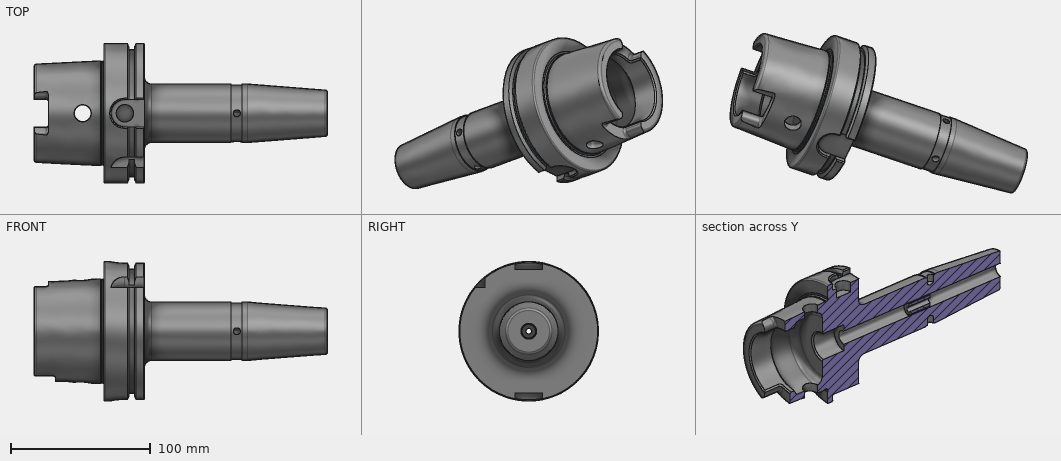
import cadquery as cq
import math


SHANK_END = -50.0
NOSE_END = 160.0

TAPER_RATIO = 1 / 20
TAPER_BIG_X = -2.5
TAPER_BIG_R = 37.55
SHANK_TIP_FILLET = 2.0
UNDERCUT_R = 37.0
UNDERCUT_START_X = -1.8
UNDERCUT_END_X = -0.7
FACE_RELIEF_INNER_R = 38.1
FACE_RELIEF_OUTER_R = 39.6
FACE_RELIEF_DEPTH = 0.1

FLANGE_R = 50.0
FLANGE_LENGTH = 29.0
FLANGE_FRONT_FILLET = 1.0
FLANGE_BACK_CHAMFER = 0.6
GROOVE_CENTER_X = 19.9
GROOVE_BOTTOM_WIDTH = 3.8
GROOVE_TOP_WIDTH = 6.4
GROOVE_BOTTOM_R = 45.6
GROOVE_WALL_R = 47.2

NECK_R = 21.0
NECK_FILLET = 5.0
RELIEF_R = 20.4
RELIEF_START_X = 90.8
RELIEF_END_X = 99.0
NOSE_TAPER_START_X = 102.8
NOSE_TAPER_ANGLE = 4.5
NOSE_TIP_FILLET = 1.7

CLAMP_BORE_R = 26.5
CLAMP_BORE_DEPTH = 45.0
CLAMP_BORE_CHAMFER = 1.0
CLAMP_GROOVE_R = 30.5
CLAMP_GROOVE_START_X = -30.7
CLAMP_GROOVE_ANGLE = 60.0
CLAMP_GROOVE_FILLET = 5.7
COOLANT_BORE_R = 10.8
COOLANT_BORE_CHAMFER = 1.1
COOLANT_BORE_DEPTH = 20.0
PASSAGE_R = 5.5

DRIVE_SLOT_HALF_WIDTH = 10.0
DRIVE_SLOT_EDGE_R = 5.0
DRIVE_SLOT_EDGE_TOP = 32.0
DRIVE_SLOT_END_FILLET = 1.8
DRIVE_SLOT_DEPTH_TOP = 10.3
DRIVE_SLOT_DEPTH_BOTTOM = 15.3

CROSS_HOLE_X = -15.2
CROSS_HOLE_D = 12.0

KEY_SLOT_WIDTH = 19.6
KEY_SLOT_END_X = 5.1
KEY_SLOT_FLOOR = 44.3
KEY_SLOT_CHAMFER = 1.0
KEY_HOLE_X = 15.0
KEY_HOLE_D = 12.5
KEY_HOLE_DEPTH = 8.0

NOTCH_OFFSET = 31.4
NOTCH_ARC_R = 10.0
NOTCH_ARC_CENTER_X = 14.8

BALANCE_HOLE_COUNT = 4
BALANCE_HOLE_X = 95.2
BALANCE_HOLE_D = 5.0
BALANCE_HOLE_DEPTH = 6.0
DRILL_POINT_ANGLE = 118.0

SCREW_R = 5.0
SCREW_BORE_R = 2.0
SCREW_START_X = 75.0
SCREW_LENGTH = 20.0

CLEAR = 10.0


def turned_body():
    """Outer shape revolved about X."""
    shank_tip_r = TAPER_BIG_R - (TAPER_BIG_X - SHANK_END) * TAPER_RATIO
    nose_tip_r = NECK_R - (NOSE_END - NOSE_TAPER_START_X) * math.tan(math.radians(NOSE_TAPER_ANGLE))

    shank = (
        cq.Workplane("XY")
        .polyline([
            (SHANK_END, 0),
            (SHANK_END, shank_tip_r),
            (TAPER_BIG_X, TAPER_BIG_R),
            (UNDERCUT_START_X, UNDERCUT_R),
            (UNDERCUT_END_X, UNDERCUT_R),
            (FACE_RELIEF_DEPTH, FACE_RELIEF_INNER_R),
            (FACE_RELIEF_DEPTH, 0),
        ])
        .close()
        .revolve(360, (0, 0, 0), (1, 0, 0))
        .faces("<X").edges().fillet(SHANK_TIP_FILLET)
    )

    flange = make_flange()

    neck_start = FLANGE_LENGTH
    nose = (
        cq.Workplane("XY")
        .moveTo(neck_start, 0)
        .lineTo(neck_start, NECK_R + NECK_FILLET)
        .radiusArc((neck_start + NECK_FILLET, NECK_R), -NECK_FILLET)
        .lineTo(RELIEF_START_X, NECK_R)
        .lineTo(RELIEF_START_X, RELIEF_R)
        .lineTo(RELIEF_END_X, RELIEF_R)
        .lineTo(RELIEF_END_X, NECK_R)
        .lineTo(NOSE_TAPER_START_X, NECK_R)
        .lineTo(NOSE_END, nose_tip_r)
        .lineTo(NOSE_END, 0)
        .close()
        .revolve(360, (0, 0, 0), (1, 0, 0))
        .faces(">X").edges().fillet(NOSE_TIP_FILLET)
    )
    return flange.union(shank).union(nose)


def make_flange():
    """Flange disc with its key slots, gripper groove and face relief."""
    flange = (
        cq.Workplane("YZ").circle(FLANGE_R).extrude(FLANGE_LENGTH)
        .faces("<X").edges().fillet(FLANGE_FRONT_FILLET)
    )
    for angle in (0, 180):
        flange = flange.cut(about_axis(key_slot(), angle))

    rim_z = math.sqrt(FLANGE_R ** 2 - (KEY_SLOT_WIDTH / 2) ** 2) - KEY_SLOT_CHAMFER / 2
    for z_low, z_high in ((rim_z, FLANGE_R), (-FLANGE_R, -rim_z)):
        rim = cq.selectors.BoxSelector(
            (0, -FLANGE_R, z_low),
            (FLANGE_LENGTH - FLANGE_BACK_CHAMFER, FLANGE_R, z_high),
        )
        flange = flange.edges(rim).chamfer(KEY_SLOT_CHAMFER)

    back_chamfered = (
        cq.Workplane("YZ").circle(FLANGE_R).extrude(FLANGE_LENGTH)
        .faces(">X").edges().chamfer(FLANGE_BACK_CHAMFER)
    )
    face_relief = cq.Workplane("YZ").circle(FACE_RELIEF_OUTER_R).extrude(FACE_RELIEF_DEPTH)
    return flange.intersect(back_chamfered).cut(face_relief).cut(gripper_groove())


def gripper_groove():
    """Ring cutter for the flange groove: sloped mouth, square bottom."""
    half_top = GROOVE_TOP_WIDTH / 2
    half_bottom = GROOVE_BOTTOM_WIDTH / 2
    return (
        cq.Workplane("XY")
        .polyline([
            (GROOVE_CENTER_X - half_bottom, GROOVE_BOTTOM_R),
            (GROOVE_CENTER_X - half_bottom, GROOVE_WALL_R),
            (GROOVE_CENTER_X - half_top, FLANGE_R),
            (GROOVE_CENTER_X - half_top, FLANGE_R + CLEAR),
            (GROOVE_CENTER_X + half_top, FLANGE_R + CLEAR),
            (GROOVE_CENTER_X + half_top, FLANGE_R),
            (GROOVE_CENTER_X + half_bottom, GROOVE_WALL_R),
            (GROOVE_CENTER_X + half_bottom, GROOVE_BOTTOM_R),
        ])
        .close()
        .revolve(360, (0, 0, 0), (1, 0, 0))
    )


def bores():
    """Clamping bore, coolant tube bore and the passage through to the nose."""
    clamp_floor_x = SHANK_END + CLAMP_BORE_DEPTH
    groove_depth = CLAMP_GROOVE_R - CLAMP_BORE_R
    groove_slope_length = groove_depth / math.tan(math.radians(CLAMP_GROOVE_ANGLE))
    coolant_mouth_r = COOLANT_BORE_R + COOLANT_BORE_CHAMFER
    coolant_floor_x = clamp_floor_x + COOLANT_BORE_DEPTH
    return (
        cq.Workplane("XY")
        .moveTo(SHANK_END, 0)
        .lineTo(SHANK_END, CLAMP_BORE_R)
        .lineTo(CLAMP_GROOVE_START_X, CLAMP_BORE_R)
        .lineTo(CLAMP_GROOVE_START_X + groove_slope_length, CLAMP_GROOVE_R)
        .lineTo(clamp_floor_x - CLAMP_GROOVE_FILLET, CLAMP_GROOVE_R)
        .radiusArc((clamp_floor_x, CLAMP_GROOVE_R - CLAMP_GROOVE_FILLET), CLAMP_GROOVE_FILLET)
        .lineTo(clamp_floor_x, coolant_mouth_r)
        .lineTo(clamp_floor_x + COOLANT_BORE_CHAMFER, COOLANT_BORE_R)
        .lineTo(coolant_floor_x, COOLANT_BORE_R)
        .lineTo(coolant_floor_x, PASSAGE_R)
        .lineTo(NOSE_END, PASSAGE_R)
        .lineTo(NOSE_END, 0)
        .close()
        .revolve(360, (0, 0, 0), (1, 0, 0))
    )


def drive_slot(depth):
    """Cutter for one drive slot at +Z, with rounded mouth edges and a filleted end."""
    inner_z = CLAMP_BORE_R / 2
    outer_z = FLANGE_R
    edge_center_y = DRIVE_SLOT_HALF_WIDTH + DRIVE_SLOT_EDGE_R
    edge_center_z = DRIVE_SLOT_EDGE_TOP - DRIVE_SLOT_EDGE_R
    outer_y = edge_center_y + DRIVE_SLOT_EDGE_R
    return (
        cq.Workplane("YZ", origin=(SHANK_END - CLEAR, 0, 0))
        .moveTo(-DRIVE_SLOT_HALF_WIDTH, inner_z)
        .lineTo(DRIVE_SLOT_HALF_WIDTH, inner_z)
        .lineTo(DRIVE_SLOT_HALF_WIDTH, edge_center_z)
        .radiusArc((edge_center_y, DRIVE_SLOT_EDGE_TOP), DRIVE_SLOT_EDGE_R)
        .lineTo(outer_y, DRIVE_SLOT_EDGE_TOP)
        .lineTo(outer_y, outer_z)
        .lineTo(-outer_y, outer_z)
        .lineTo(-outer_y, DRIVE_SLOT_EDGE_TOP)
        .lineTo(-edge_center_y, DRIVE_SLOT_EDGE_TOP)
        .radiusArc((-DRIVE_SLOT_HALF_WIDTH, edge_center_z), DRIVE_SLOT_EDGE_R)
        .close()
        .extrude(CLEAR + depth)
        .faces(">X").edges().fillet(DRIVE_SLOT_END_FILLET)
    )


def key_slot():
    """Cutter for a flange key slot at +Z: round inner end, open at the flange back."""
    half_width = KEY_SLOT_WIDTH / 2
    center_x = KEY_SLOT_END_X + KEY_SLOT_WIDTH / 2
    open_x = FLANGE_LENGTH
    return (
        cq.Workplane("XY", origin=(0, 0, KEY_SLOT_FLOOR))
        .moveTo(open_x, -half_width)
        .lineTo(center_x, -half_width)
        .threePointArc((center_x - half_width, 0), (center_x, half_width))
        .lineTo(open_x, half_width)
        .close()
        .extrude(FLANGE_R + CLEAR - KEY_SLOT_FLOOR)
    )


def key_hole():
    """Cutter for the flat-bottomed hole in the floor of the top key slot."""
    return (
        cq.Workplane("XY", origin=(KEY_HOLE_X, 0, KEY_SLOT_FLOOR - KEY_HOLE_DEPTH))
        .circle(KEY_HOLE_D / 2)
        .extrude(KEY_HOLE_DEPTH + CLEAR)
    )


def orientation_notch():
    """Cutter for the square-cornered notch, its inner end swept by a round cutter."""
    arc_center_y = -NOTCH_OFFSET - NOTCH_ARC_R
    return (
        cq.Workplane("XY", origin=(0, 0, NOTCH_OFFSET))
        .moveTo(FLANGE_LENGTH, -NOTCH_OFFSET)
        .lineTo(NOTCH_ARC_CENTER_X, -NOTCH_OFFSET)
        .radiusArc((NOTCH_ARC_CENTER_X - NOTCH_ARC_R, arc_center_y), -NOTCH_ARC_R)
        .lineTo(FLANGE_LENGTH, arc_center_y)
        .close()
        .extrude(FLANGE_R)
    )


def balance_hole():
    """Cutter for one drilled hole at +Z with a conical bottom."""
    radius = BALANCE_HOLE_D / 2
    point_length = radius / math.tan(math.radians(DRILL_POINT_ANGLE / 2))
    floor_z = RELIEF_R - BALANCE_HOLE_DEPTH
    return (
        cq.Workplane("XZ", origin=(BALANCE_HOLE_X, 0, 0))
        .polyline([
            (0, floor_z - point_length),
            (radius, floor_z),
            (radius, RELIEF_R + CLEAR),
            (0, RELIEF_R + CLEAR),
        ])
        .close()
        .revolve(360, (0, 0, 0), (0, 1, 0))
    )


def about_axis(cutter, angle):
    return cutter.rotate((0, 0, 0), (1, 0, 0), angle)


def chamfer_bore_edge(holder):
    """Chamfer the mouth of the clamping bore, including where the drive slots cut it."""
    tolerance = 0.01

    def on_bore(point):
        return abs(math.hypot(point.y, point.z) - CLAMP_BORE_R) < tolerance

    def is_mouth_edge(edge):
        middle = edge.positionAt(0.5)
        before_slot_end = middle.x < SHANK_END + DRIVE_SLOT_DEPTH_BOTTOM + tolerance
        return before_slot_end and on_bore(middle) and on_bore(edge.startPoint())

    mouth_edges = [edge for edge in holder.edges().vals() if is_mouth_edge(edge)]
    return holder.newObject(mouth_edges).chamfer(CLAMP_BORE_CHAMFER)


def make_holder():
    holder = turned_body()
    holder = holder.cut(key_hole())
    holder = holder.cut(orientation_notch())
    holder = holder.cut(bores())
    holder = holder.cut(drive_slot(DRIVE_SLOT_DEPTH_TOP))
    holder = holder.cut(about_axis(drive_slot(DRIVE_SLOT_DEPTH_BOTTOM), 180))
    holder = chamfer_bore_edge(holder)

    cross_hole = (
        cq.Workplane("XY", origin=(CROSS_HOLE_X, 0, 0))
        .circle(CROSS_HOLE_D / 2)
        .extrude(FLANGE_R, both=True)
    )
    holder = holder.cut(cross_hole)

    for index in range(BALANCE_HOLE_COUNT):
        holder = holder.cut(about_axis(balance_hole(), index * 360 / BALANCE_HOLE_COUNT))
    return holder


def make_stop_screw():
    """Hollow screw standing free in the coolant passage."""
    return (
        cq.Workplane("YZ", origin=(SCREW_START_X, 0, 0))
        .circle(SCREW_R)
        .circle(SCREW_BORE_R)
        .extrude(SCREW_LENGTH)
    )


holder = make_holder()
stop_screw = make_stop_screw()
result = cq.Compound.makeCompound([holder.val(), stop_screw.val()])